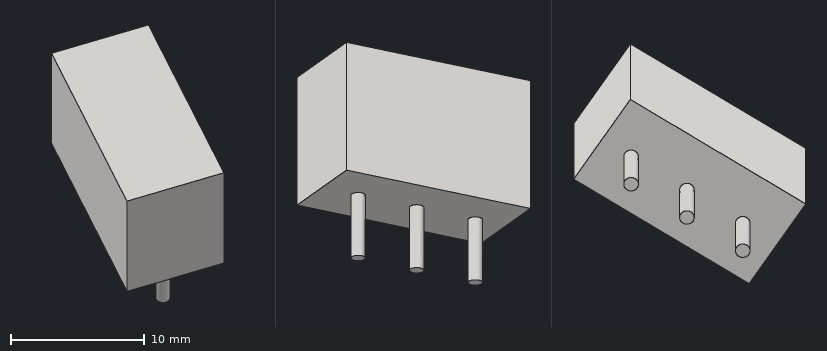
import cadquery as cq

HOUSING_LENGTH = 15.7
HOUSING_WIDTH = 7.8
OVERALL_HEIGHT = 15.5

PIN_DIAMETER = 1.1
PIN_LENGTH = 5.1
PIN_COUNT = 3
PIN_PITCH = 5.0
PIN_ROW_OFFSET = 0.25

HOUSING_HEIGHT = OVERALL_HEIGHT - PIN_LENGTH


def make_housing():
    """Block with its bottom face at Z = 0."""
    return cq.Workplane("XY").box(
        HOUSING_LENGTH, HOUSING_WIDTH, HOUSING_HEIGHT, centered=(True, True, False)
    )


def make_pin(x):
    """Round pin that touches the housing bottom and points down."""
    return cq.Workplane("XY").center(x, 0).circle(PIN_DIAMETER / 2).extrude(-PIN_LENGTH)


housing = make_housing()

first_pin_x = PIN_ROW_OFFSET - PIN_PITCH * (PIN_COUNT - 1) / 2
pins = []
for index in range(PIN_COUNT):
    pin = make_pin(first_pin_x + index * PIN_PITCH)
    pins.append(pin.val())

result = cq.Compound.makeCompound([housing.val(), *pins])